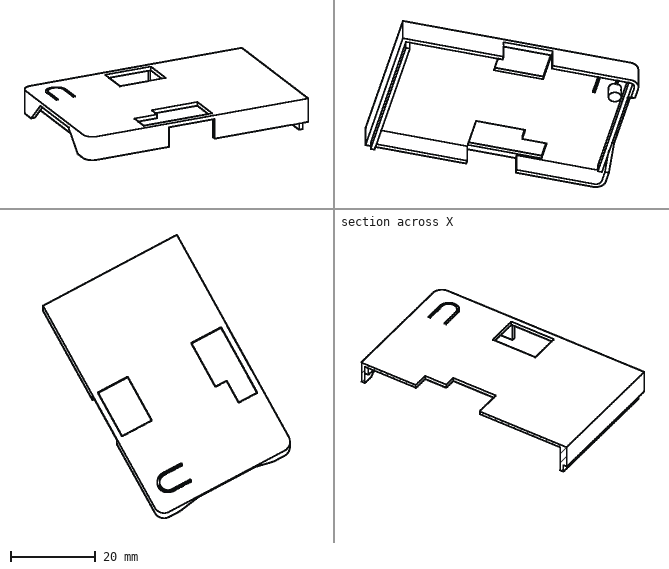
import cadquery as cq

WIDTH = 36.0
LENGTH = 58.0
HEIGHT = 8.0
FRONT = -LENGTH / 2
BACK = LENGTH / 2
LEFT = -WIDTH / 2
RIGHT = WIDTH / 2

WALL = 1.0
WALL_DEPTH = 6.0
CORNER_RADIUS = 2.5

RIB_DEPTH = 3.0

ARCH_TOP_WIDTH = 15.2
ARCH_SLOPE_RUN = WALL_DEPTH - WALL

OPENING_FRONT = -7.6
OPENING_LENGTH = 12.0
OPENING_BACK = OPENING_FRONT + OPENING_LENGTH
RIGHT_NOTCH_LENGTH = 6.0
EDGE_STRIP = 1.45
WINDOW_WIDTH = 8.0
RIGHT_NOTCH_WIDTH = 5.0

BUTTON_X = LEFT + 5.7
BUTTON_Y = FRONT + 6.5
BUTTON_SLOT_END = LEFT + 10.7
BUTTON_OUTER_DIAMETER = 5.0
BUTTON_SLOT_WIDTH = 0.5
PIN_DIAMETER = 3.0
PIN_DEPTH = 4.0
PIN_X = LEFT + 8.1
PIN_Y = BUTTON_Y - BUTTON_OUTER_DIAMETER / 2 + BUTTON_SLOT_WIDTH / 2


def block(x_min, x_max, y_min, y_max, z_min, z_max):
    """Box given by its limits along each axis."""
    size = (x_max - x_min, y_max - y_min, z_max - z_min)
    return cq.Workplane("XY").box(*size, centered=False).translate((x_min, y_min, z_min))


def tongue(diameter, depth):
    """Button-shaped solid: round on the left, straight up to the slot end."""
    radius = diameter / 2
    return (
        cq.Workplane("XY")
        .moveTo(BUTTON_SLOT_END, BUTTON_Y - radius)
        .lineTo(BUTTON_X, BUTTON_Y - radius)
        .threePointArc((BUTTON_X - radius, BUTTON_Y), (BUTTON_X, BUTTON_Y + radius))
        .lineTo(BUTTON_SLOT_END, BUTTON_Y + radius)
        .close()
        .extrude(-depth)
    )


def shell():
    """Plate with four walls, open below and rounded at the front corners."""
    outer = block(LEFT, RIGHT, FRONT, BACK, -WALL_DEPTH, 0)
    outer = outer.edges("|Z and <Y").fillet(CORNER_RADIUS)
    cavity = block(LEFT + WALL, RIGHT - WALL, FRONT + WALL, BACK - WALL, -WALL_DEPTH, -WALL)
    cavity = cavity.edges("|Z and <Y").fillet(CORNER_RADIUS - WALL)
    return outer.cut(cavity)


def front_arch():
    """Cutter for the front wall, widening downwards at 45 degrees."""
    half_top = ARCH_TOP_WIDTH / 2
    half_bottom = half_top + ARCH_SLOPE_RUN
    return (
        cq.Workplane("XZ", origin=(0, FRONT, 0))
        .polyline([
            (-half_bottom, -WALL_DEPTH),
            (-half_top, -WALL),
            (half_top, -WALL),
            (half_bottom, -WALL_DEPTH),
        ])
        .close()
        .extrude(-WALL)
    )


def side_opening(x_min):
    """Cutter through the full depth of one side wall, below the plate."""
    return block(x_min, x_min + WALL, OPENING_FRONT, OPENING_BACK, -WALL_DEPTH, -WALL)


def plate_window(x_min, x_max, y_min):
    """Rectangular cutter through the plate."""
    return block(x_min, x_max, y_min, OPENING_BACK, -WALL, 0)


notch_front = OPENING_FRONT - RIGHT_NOTCH_LENGTH
window_left = LEFT + EDGE_STRIP
window_right = RIGHT - EDGE_STRIP

body = shell().cut(front_arch())
body = body.cut(side_opening(LEFT))
body = body.cut(side_opening(RIGHT - WALL))

body = body.cut(plate_window(window_left, window_left + WINDOW_WIDTH, OPENING_FRONT))
body = body.cut(plate_window(window_right - WINDOW_WIDTH, window_right, OPENING_FRONT))
body = body.cut(plate_window(window_right - RIGHT_NOTCH_WIDTH, window_right, notch_front))

button = tongue(BUTTON_OUTER_DIAMETER - 2 * BUTTON_SLOT_WIDTH, WALL)
body = body.cut(tongue(BUTTON_OUTER_DIAMETER, WALL).cut(button))

pin = (
    cq.Workplane("XY", origin=(PIN_X, PIN_Y, -WALL))
    .circle(PIN_DIAMETER / 2)
    .extrude(WALL - PIN_DEPTH)
)

rib_half = WIDTH / 2 - CORNER_RADIUS
rib = block(-rib_half, rib_half, FRONT + WALL, FRONT + 2 * WALL, -RIB_DEPTH, -WALL)
lip = block(LEFT + WALL, RIGHT - WALL, BACK - 2 * WALL, BACK - WALL, -HEIGHT, -WALL)

result = body.union(pin).union(rib).union(lip)